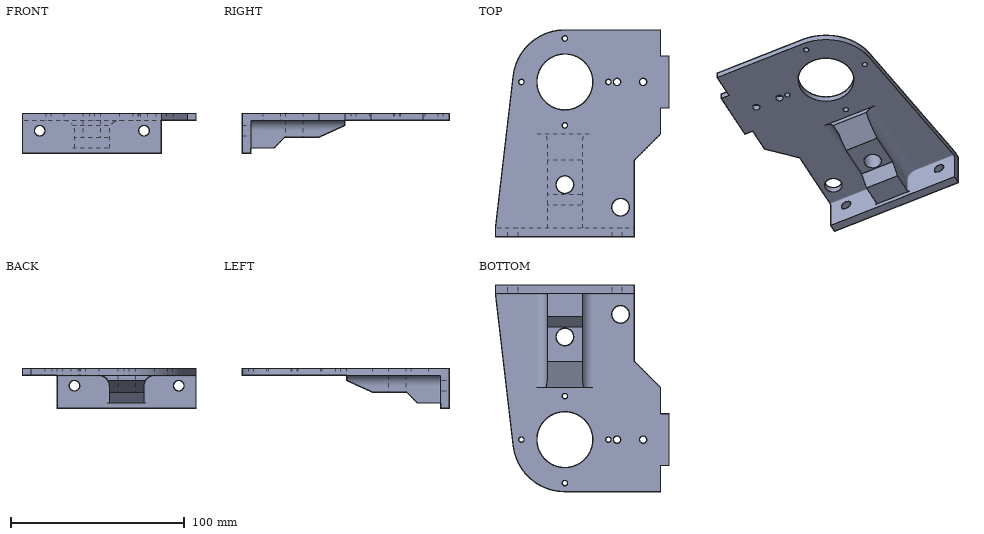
import cadquery as cq
import math

LENGTH = 119.0
FLANGE_WIDTH = 80.0
PLATE_WIDTH = 95.0
PLATE_THICKNESS = 4.0
FLANGE_THICKNESS = 5.0
FLANGE_HEIGHT = 23.0

CORNER_RADIUS = 30.0
TAB_DEPTH = 5.0
TAB_START = 74.0
TAB_LENGTH = 30.0
SHOULDER_START = 44.0
SHOULDER_RUN = PLATE_WIDTH - FLANGE_WIDTH
AXIS_X = FLANGE_WIDTH / 2
BORE_Y = LENGTH - CORNER_RADIUS

BORE_DIAMETER = 32.0
BOLT_CIRCLE_RADIUS = 25.0
BOLT_COUNT = 4
BOLT_DIAMETER = 3.0
PIN_DIAMETER = 4.0
PIN_POSITIONS_X = (70.0, 85.0)
LARGE_HOLE_DIAMETER = 10.0
RIB_HOLE_Y = 30.0
SIDE_HOLE_POSITION = (72.0, 17.0)

FLANGE_HOLE_DIAMETER = 6.0
FLANGE_HOLE_INSET = 10.0
FLANGE_HOLE_DEPTH = 10.0

RIB_WIDTH = 20.0
RIB_FILLET = 6.0
RIB_END_Y = SHOULDER_START + SHOULDER_RUN
RIB_END_DEPTH = 7.0
PAD_DEPTH = 13.8
PAD_START_Y = 24.4
PAD_END_Y = SHOULDER_START
RIB_FOOT_DEPTH = 20.0
RIB_FOOT_END_Y = 18.3
FLANGE_FILLET = 1.0
SELECT_MARGIN = 0.1

TRIM_ALLOWANCE = 6.0


def corner_tangent_angle():
    """Angle on the corner arc where the slanted left edge is tangent."""
    dx = -AXIS_X
    dy = FLANGE_THICKNESS - BORE_Y
    distance = math.hypot(dx, dy)
    return math.atan2(dy, dx) - math.acos(CORNER_RADIUS / distance)


def corner_point(angle):
    return (
        AXIS_X + CORNER_RADIUS * math.cos(angle),
        BORE_Y + CORNER_RADIUS * math.sin(angle),
    )


def make_outline_prism():
    """Full-height prism with the outline seen from above."""
    top_angle = math.pi / 2
    tangent_angle = corner_tangent_angle() % (2 * math.pi)
    middle_angle = (top_angle + tangent_angle) / 2
    tab_end = TAB_START + TAB_LENGTH
    tab_edge = PLATE_WIDTH + TAB_DEPTH
    return (
        cq.Workplane("XY")
        .moveTo(0, 0)
        .lineTo(FLANGE_WIDTH, 0)
        .lineTo(FLANGE_WIDTH, SHOULDER_START)
        .lineTo(PLATE_WIDTH, SHOULDER_START + SHOULDER_RUN)
        .lineTo(PLATE_WIDTH, TAB_START)
        .lineTo(tab_edge, TAB_START)
        .lineTo(tab_edge, tab_end)
        .lineTo(PLATE_WIDTH, tab_end)
        .lineTo(PLATE_WIDTH, LENGTH)
        .lineTo(AXIS_X, LENGTH)
        .threePointArc(corner_point(middle_angle), corner_point(tangent_angle))
        .lineTo(0, FLANGE_THICKNESS)
        .close()
        .extrude(-FLANGE_HEIGHT)
    )


def make_blank(length, height):
    """Box wider than the part on both sides, starting at the front top edge."""
    blank_width = PLATE_WIDTH + TAB_DEPTH + 2 * TRIM_ALLOWANCE
    return (
        cq.Workplane("XY")
        .moveTo(-TRIM_ALLOWANCE, 0)
        .rect(blank_width, length, centered=False)
        .extrude(-height)
    )


def make_rib():
    """Stepped rib whose flanks flare into the plate with concave arcs."""
    half_width = RIB_WIDTH / 2
    flare_half_width = half_width + RIB_FILLET
    tangent_z = -PLATE_THICKNESS - RIB_FILLET
    arc_offset = RIB_FILLET * (1 - math.sqrt(0.5))
    arc_x = half_width + arc_offset
    arc_z = -PLATE_THICKNESS - arc_offset
    section = (
        cq.Workplane("XZ")
        .moveTo(AXIS_X - flare_half_width, -PLATE_THICKNESS)
        .threePointArc((AXIS_X - arc_x, arc_z), (AXIS_X - half_width, tangent_z))
        .lineTo(AXIS_X - half_width, -RIB_FOOT_DEPTH)
        .lineTo(AXIS_X + half_width, -RIB_FOOT_DEPTH)
        .lineTo(AXIS_X + half_width, tangent_z)
        .threePointArc((AXIS_X + arc_x, arc_z), (AXIS_X + flare_half_width, -PLATE_THICKNESS))
        .close()
        .extrude(-RIB_END_Y)
    )
    side_profile = (
        cq.Workplane("YZ")
        .polyline([
            (FLANGE_THICKNESS, -PLATE_THICKNESS),
            (RIB_END_Y, -PLATE_THICKNESS),
            (RIB_END_Y, -RIB_END_DEPTH),
            (PAD_END_Y, -PAD_DEPTH),
            (PAD_START_Y, -PAD_DEPTH),
            (RIB_FOOT_END_Y, -RIB_FOOT_DEPTH),
            (FLANGE_THICKNESS, -RIB_FOOT_DEPTH),
        ])
        .close()
        .extrude(FLANGE_WIDTH)
    )
    return section.intersect(side_profile)


def round_inner_corner(body):
    """Fillet where the plate and the rib flanks meet the flange."""
    corner_strip = cq.selectors.BoxSelector(
        (-TRIM_ALLOWANCE, FLANGE_THICKNESS - SELECT_MARGIN, -RIB_FOOT_DEPTH + SELECT_MARGIN),
        (PLATE_WIDTH, FLANGE_THICKNESS + SELECT_MARGIN, -PLATE_THICKNESS + SELECT_MARGIN),
    )
    return body.edges(corner_strip).fillet(FLANGE_FILLET)


def vertical_holes(points, diameter):
    return (
        cq.Workplane("XY")
        .pushPoints(points)
        .circle(diameter / 2)
        .extrude(-FLANGE_HEIGHT)
    )


def flange_holes():
    positions_x = (FLANGE_HOLE_INSET, FLANGE_WIDTH - FLANGE_HOLE_INSET)
    return (
        cq.Workplane("XZ")
        .pushPoints([(x, -FLANGE_HOLE_DEPTH) for x in positions_x])
        .circle(FLANGE_HOLE_DIAMETER / 2)
        .extrude(-FLANGE_THICKNESS)
    )


bolt_angles = [2 * math.pi * i / BOLT_COUNT for i in range(BOLT_COUNT)]
bolt_points = [
    (AXIS_X + BOLT_CIRCLE_RADIUS * math.cos(a), BORE_Y + BOLT_CIRCLE_RADIUS * math.sin(a))
    for a in bolt_angles
]
pin_points = [(x, BORE_Y) for x in PIN_POSITIONS_X]

plate = make_blank(LENGTH, PLATE_THICKNESS)
flange = make_blank(FLANGE_THICKNESS, FLANGE_HEIGHT)
body = round_inner_corner(plate.union(flange).union(make_rib()))
body = body.intersect(make_outline_prism())

result = (
    body
    .cut(vertical_holes([(AXIS_X, BORE_Y)], BORE_DIAMETER))
    .cut(vertical_holes(bolt_points, BOLT_DIAMETER))
    .cut(vertical_holes(pin_points, PIN_DIAMETER))
    .cut(vertical_holes([(AXIS_X, RIB_HOLE_Y), SIDE_HOLE_POSITION], LARGE_HOLE_DIAMETER))
    .cut(flange_holes())
)